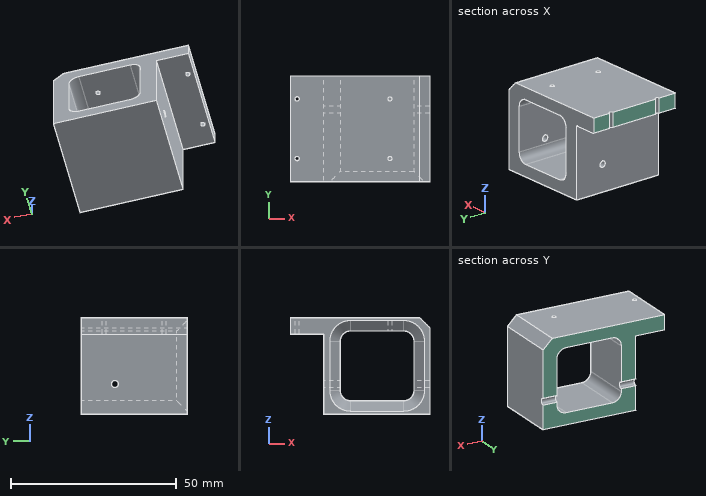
import cadquery as cq

length = 42.15
depth = 32.0
height = 29.2

flange_overhang = 10.0
flange_thickness = 5.05
edge_chamfer = 3.15

opening_width = 22.18
opening_height = 21.0
opening_radius = 3.08
opening_center_x = 26.2
opening_center_z = 14.65
mouth_flare = 3.2

top_hole_diameter = 1.22
top_hole_columns_x = (2.02, 30.0)
top_hole_spacing_y = 18.0
top_hole_center_y = 16.05

side_hole_diameter = 2.02
side_hole_y = 21.85
side_hole_z = 9.15


def make_body():
    """Box with the flange along its top and one bevelled upper edge."""
    outline = [
        (flange_overhang, 0),
        (length, 0),
        (length, height - edge_chamfer),
        (length - edge_chamfer, height),
        (0, height),
        (0, height - flange_thickness),
        (flange_overhang, height - flange_thickness),
    ]
    return cq.Workplane("XZ").polyline(outline).close().extrude(-depth)


def opening_prism(growth, prism_depth, taper=0):
    """Rounded rectangle grown on every side and extruded from the front face toward +Y."""
    profile = (
        cq.Sketch()
        .rect(opening_width + 2 * growth, opening_height + 2 * growth)
        .vertices()
        .fillet(opening_radius + growth)
    )
    return (
        cq.Workplane("XZ")
        .center(opening_center_x, opening_center_z)
        .placeSketch(profile)
        .extrude(-prism_depth, taper=taper)
    )


def make_opening():
    """Through opening whose front mouth flares outward at 45 degrees."""
    passage = opening_prism(0, depth)
    mouth = opening_prism(mouth_flare, mouth_flare, taper=45)
    return passage.union(mouth)


def make_top_holes():
    """Four holes, two through the flange and two through the top wall into the opening."""
    rows_y = [top_hole_center_y + side * top_hole_spacing_y / 2 for side in (-1, 1)]
    centers = [(x, y) for x in top_hole_columns_x for y in rows_y]
    return (
        cq.Workplane("XY", origin=(0, 0, opening_center_z))
        .pushPoints(centers)
        .circle(top_hole_diameter / 2)
        .extrude(height - opening_center_z)
    )


def make_side_hole():
    """Straight hole through both side walls."""
    return (
        cq.Workplane("YZ")
        .center(side_hole_y, side_hole_z)
        .circle(side_hole_diameter / 2)
        .extrude(length)
    )


result = (
    make_body()
    .cut(make_opening())
    .cut(make_top_holes())
    .cut(make_side_hole())
)